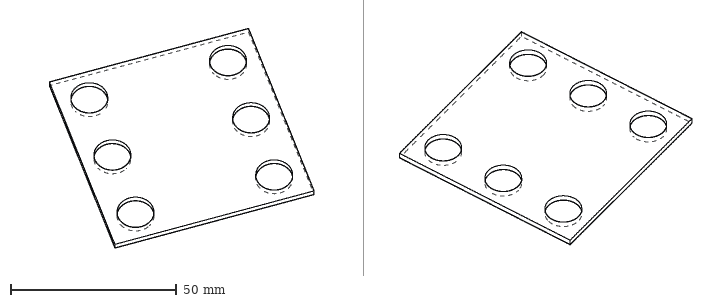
import cadquery as cq

side = 63.5
thickness = 2.0

hole_diameter = 11.2
holes_per_row = 3
row_count = 2
hole_pitch = 22.35
row_spacing = 44.2

plate = cq.Workplane("XY").box(side, side, thickness)

result = (
    plate.faces(">Z")
    .workplane()
    .rarray(hole_pitch, row_spacing, holes_per_row, row_count)
    .hole(hole_diameter)
)